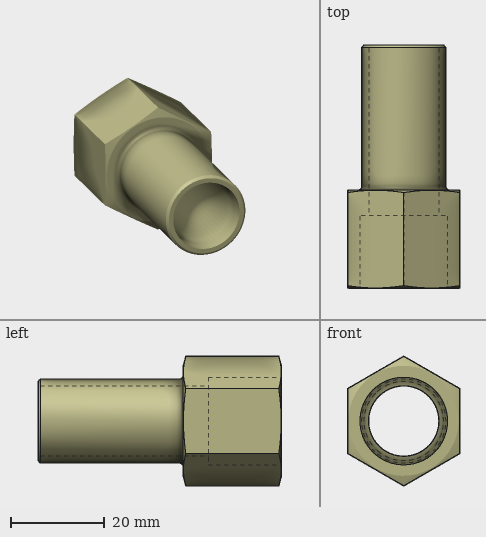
import cadquery as cq
import math

total_length = 52.0
hex_length = 21.0
across_flats = 24.0
across_corners = across_flats / math.cos(math.radians(30))

shank_diameter = 18.0
shank_end_chamfer = 0.5
root_fillet = 0.8

socket_diameter = 18.7
socket_depth = 15.6
bore_diameter = 15.0

chamfer_face_diameter = 23.5
chamfer_angle = 15.0


def cylinder(diameter, start, length):
    """Cylinder along +Y from y = start."""
    base = cq.Workplane("XZ", origin=(0, start, 0))
    return base.circle(diameter / 2).extrude(-length)


def make_hexagon():
    """Hexagon with corners at top and bottom, its ends trimmed by cones."""
    prism = (
        cq.Workplane("XZ")
        .transformed(rotate=(0, 0, 90))
        .polygon(6, across_corners)
        .extrude(-hex_length)
    )
    face_radius = chamfer_face_diameter / 2
    outer_radius = across_corners / 2
    cone_length = (outer_radius - face_radius) * math.tan(math.radians(chamfer_angle))
    envelope = (
        cq.Workplane("XY")
        .moveTo(0, 0)
        .lineTo(face_radius, 0)
        .lineTo(outer_radius, cone_length)
        .lineTo(outer_radius, hex_length - cone_length)
        .lineTo(face_radius, hex_length)
        .lineTo(0, hex_length)
        .close()
        .revolve(360, (0, 0, 0), (0, 1, 0))
    )
    return prism.intersect(envelope)


def make_shank():
    """Round shank with a chamfered end and a concave fillet at its root."""
    radius = shank_diameter / 2
    fillet_end = hex_length + root_fillet
    arc_offset = root_fillet * (1 - math.sqrt(0.5))
    return (
        cq.Workplane("XY")
        .moveTo(0, hex_length)
        .lineTo(radius + root_fillet, hex_length)
        .threePointArc((radius + arc_offset, hex_length + arc_offset), (radius, fillet_end))
        .lineTo(radius, total_length - shank_end_chamfer)
        .lineTo(radius - shank_end_chamfer, total_length)
        .lineTo(0, total_length)
        .close()
        .revolve(360, (0, 0, 0), (0, 1, 0))
    )


socket = cylinder(socket_diameter, 0, socket_depth)
bore = cylinder(bore_diameter, 0, total_length)

result = make_hexagon().union(make_shank()).cut(socket).cut(bore)